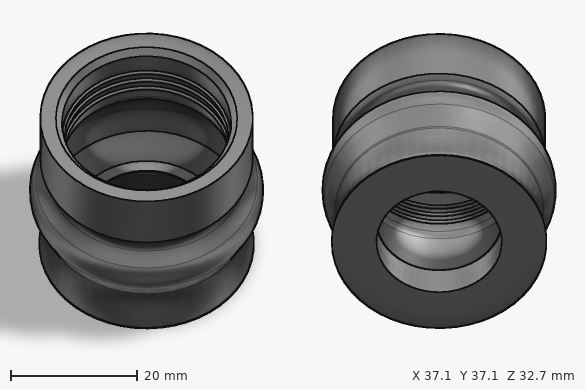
import cadquery as cq
import math

total_height = 32.7
bulge_radius = 18.53

collar_radius = 16.85
collar_height = 10.6
collar_bottom = total_height - collar_height
bore_radius = 13.4
mouth_radius = 14.38
mouth_drop = 0.37
mouth_depth = 1.5

rib_count = 3
rib_round = 0.3
rib_stem = 0.1
rib_embed = 0.37
rib_pitch = 2.0
first_rib_depth = 5.5

neck_radius = 15.25
neck_round = 2.08
neck_height = 19.83
neck_undercut_angle = math.radians(52)
bore_end_round = 2.08
bore_end_height = 20.95

bulge_round = 3.95
bulge_height = 13.8
wall = 0.8
cavity_round = bulge_round - wall

cone_foot_radius = 16.55
cone_foot_height = 8.45
skirt_top_radius = 16.45
skirt_top_height = 8.2
waist_radius = 15.9
waist_height = 5.05
foot_radius = 17.05
foot_edge = 0.2

floor_radius = 12.15
floor_rise = 0.25
hole_radius = 9.95
hole_edge_break = 0.1
funnel_angle = math.radians(50)


def on_circle(centre, radius, angle):
    """Point on a circle of the (radius, height) half-plane."""
    return (centre[0] + radius * math.cos(angle), centre[1] + radius * math.sin(angle))


def crossing_tangent_angle(centre, radius, other_centre, other_radius):
    """Contact angle on the first circle of the tangent that passes between both circles."""
    across = other_centre[0] - centre[0]
    up = other_centre[1] - centre[1]
    return math.atan2(up, across) - math.acos((radius + other_radius) / math.hypot(across, up))


def point_tangent_angle(centre, radius, point):
    """Contact angle of the tangent from a point below the circle, touching its outer side."""
    across = point[0] - centre[0]
    up = point[1] - centre[1]
    return math.atan2(up, across) + math.acos(radius / math.hypot(across, up))


bulge_centre = (bulge_radius - bulge_round, bulge_height)
neck_centre = (neck_radius + neck_round, neck_height)
bore_end_centre = (bore_radius + bore_end_round, bore_end_height)

shoulder_angle = crossing_tangent_angle(bulge_centre, bulge_round, neck_centre, neck_round)
cavity_angle = crossing_tangent_angle(bulge_centre, cavity_round, bore_end_centre, bore_end_round)
cone_foot = (cone_foot_radius, cone_foot_height)
lower_angle = point_tangent_angle(bulge_centre, bulge_round, cone_foot)

funnel_top = on_circle(cone_foot, -wall, lower_angle)
floor_height = funnel_top[1] - (funnel_top[0] - floor_radius) / math.tan(funnel_angle)


def sleeve():
    """Revolve the wall section: outside from the foot up, then the inside down to the hole."""
    section = (
        cq.Workplane("XZ")
        .moveTo(hole_radius, 0)
        .lineTo(foot_radius, 0)
        .lineTo(foot_radius, foot_edge)
        .threePointArc((waist_radius, waist_height), (skirt_top_radius, skirt_top_height))
        .lineTo(*cone_foot)
        .lineTo(*on_circle(bulge_centre, bulge_round, lower_angle))
        .threePointArc(
            (bulge_radius, bulge_height),
            on_circle(bulge_centre, bulge_round, shoulder_angle),
        )
        .lineTo(*on_circle(neck_centre, neck_round, math.pi + shoulder_angle))
        .threePointArc(
            (neck_radius, neck_height),
            on_circle(neck_centre, neck_round, math.pi - neck_undercut_angle),
        )
        .lineTo(collar_radius, collar_bottom)
        .lineTo(collar_radius, total_height)
        .lineTo(mouth_radius, total_height - mouth_drop)
        .lineTo(bore_radius, total_height - mouth_depth)
        .lineTo(bore_radius, bore_end_height)
        .threePointArc(
            on_circle(bore_end_centre, bore_end_round, math.pi + cavity_angle / 2),
            on_circle(bore_end_centre, bore_end_round, math.pi + cavity_angle),
        )
        .lineTo(*on_circle(bulge_centre, cavity_round, cavity_angle))
        .threePointArc(
            on_circle(bulge_centre, cavity_round, 0),
            on_circle(bulge_centre, cavity_round, lower_angle),
        )
        .lineTo(*funnel_top)
        .lineTo(floor_radius, floor_height)
        .lineTo(hole_radius + hole_edge_break, floor_height + floor_rise)
        .lineTo(hole_radius, floor_height + floor_rise - hole_edge_break)
        .close()
    )
    return section.revolve(360, (0, 0, 0), (0, 1, 0))


def sealing_rib(depth):
    """Ring with a round crest, standing on the bore wall at the given depth below the top."""
    height = total_height - depth
    root_radius = bore_radius + rib_embed
    crest_centre_radius = bore_radius - rib_stem
    return (
        cq.Workplane("XZ")
        .moveTo(root_radius, height - rib_round)
        .lineTo(crest_centre_radius, height - rib_round)
        .threePointArc(
            (crest_centre_radius - rib_round, height),
            (crest_centre_radius, height + rib_round),
        )
        .lineTo(root_radius, height + rib_round)
        .close()
        .revolve(360, (0, 0, 0), (0, 1, 0))
    )


result = sleeve()
for rib in range(rib_count):
    result = result.union(sealing_rib(first_rib_depth + rib * rib_pitch))